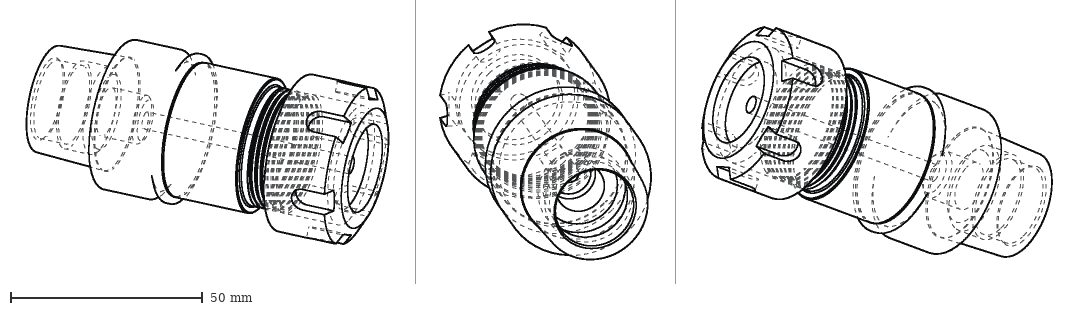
import cadquery as cq
import math

total_length = 90.0
flange_start = 20.0
groove_center = 35.95
ring_end = 40.0
barrel_end = 61.3
thread_start = 63.4
nut_start = 70.0
nose_end = 86.0

shank_small_diameter = 28.5
shank_large_diameter = 30.13
shank_root_diameter = 30.5
shank_taper_end = 18.2
shank_root_start = 19.6
shank_edge_round = 0.7

flange_diameter = 40.0
flange_edge_round = 1.0
groove_diameter = 34.8
groove_floor_width = 1.3
groove_flank_angle = 30.0
groove_edge_round = 0.5
groove_root_round = 0.4
ring_front_round = 0.9
ring_back_round = 0.5
barrel_diameter = 36.0
barrel_edge_chamfer = 0.3
relief_diameter = 35.7
relief_length = 0.5

thread_diameter = 31.85
thread_root_diameter = 30.21
thread_pitch = 1.5
thread_root_flat = thread_pitch / 4
thread_flank_angle = 30.0
thread_start_angle = 90.0
thread_run_in = 1.8
thread_cut_clearance = 0.1
neck_chamfer = 0.4

socket_mouth_diameter = 22.0
socket_diameter = 21.0
socket_mouth_depth = 0.7
socket_lip_end = 7.7
chamber_diameter = 23.5
chamber_end = 15.1
floor_diameter = 20.0
floor_start = chamber_end + (chamber_diameter - floor_diameter) / 2
screw_hole_diameter = 13.0
screw_hole_tip_diameter = 11.0
screw_hole_depth = 10.0
coolant_hole_diameter = 4.5

nut_diameter = 42.0
nut_face_diameter = 32.0
nut_cone_start = 87.2
nut_edge_round = 0.5
nut_opening_diameter = 23.5
slot_count = 6
slot_width = 6.3
slot_start = 78.0
slot_floor_radius = 18.0


def revolve_about_x(outline):
    """Turn a closed half outline in the XY plane around the X axis."""
    return outline.close().revolve(360, (0, 0, 0), (1, 0, 0))


def add_rounded_corner(outline, previous, corner, following, radius):
    """Draw to a corner of the outline and round it with a tangent arc."""
    corner = cq.Vector(*corner)
    back = (cq.Vector(*previous) - corner).normalized()
    ahead = (cq.Vector(*following) - corner).normalized()
    half_angle = back.getAngle(ahead) / 2
    tangent_length = radius / math.tan(half_angle)
    arc_offset = radius / math.sin(half_angle) - radius
    arc_start = corner + back * tangent_length
    arc_middle = corner + (back + ahead).normalized() * arc_offset
    arc_end = corner + ahead * tangent_length
    outline = outline.lineTo(arc_start.x, arc_start.y)
    return outline.threePointArc((arc_middle.x, arc_middle.y), (arc_end.x, arc_end.y))


def draw_rounded_outline(corners):
    """Join (x, radius, rounding) corners with lines; a rounding of zero leaves a sharp corner."""
    first_x, first_radius, _ = corners[0]
    outline = cq.Workplane("XY").moveTo(first_x, first_radius)
    for previous, corner, following in zip(corners, corners[1:], corners[2:]):
        if corner[2] > 0:
            outline = add_rounded_corner(outline, previous[:2], corner[:2], following[:2], corner[2])
        else:
            outline = outline.lineTo(corner[0], corner[1])
    last_x, last_radius, _ = corners[-1]
    return outline.lineTo(last_x, last_radius)


def make_outer_shape():
    """Solid shank, flange, barrel and nose, before the bore and the thread are cut."""
    flange_radius = flange_diameter / 2
    groove_radius = groove_diameter / 2
    barrel_radius = barrel_diameter / 2
    thread_radius = thread_diameter / 2
    half_floor = groove_floor_width / 2
    flank_length = (flange_radius - groove_radius) * math.tan(math.radians(groove_flank_angle))
    half_mouth = half_floor + flank_length
    relief_end = ring_end + relief_length
    outline = draw_rounded_outline([
        (0, 0, 0),
        (0, shank_small_diameter / 2, shank_edge_round),
        (shank_taper_end, shank_large_diameter / 2, 0),
        (shank_root_start, shank_large_diameter / 2, 0),
        (flange_start, shank_root_diameter / 2, 0),
        (flange_start, flange_radius, flange_edge_round),
        (groove_center - half_mouth, flange_radius, groove_edge_round),
        (groove_center - half_floor, groove_radius, groove_root_round),
        (groove_center + half_floor, groove_radius, groove_root_round),
        (groove_center + half_mouth, flange_radius, ring_front_round),
        (ring_end, flange_radius, ring_back_round),
        (ring_end, relief_diameter / 2, 0),
        (relief_end, relief_diameter / 2, 0),
        (relief_end, barrel_radius, 0),
        (barrel_end - barrel_edge_chamfer, barrel_radius, 0),
        (barrel_end, barrel_radius - barrel_edge_chamfer, 0),
        (barrel_end, thread_radius + neck_chamfer, 0),
        (barrel_end + neck_chamfer, thread_radius, 0),
        (nose_end, thread_radius, 0),
        (nose_end, 0, 0),
    ])
    return revolve_about_x(outline)


def make_bore():
    """Shank socket, undercut chamber, screw hole and through coolant hole."""
    screw_hole_end = floor_start + screw_hole_depth
    tip_length = (screw_hole_diameter - screw_hole_tip_diameter) / 2
    outline = (
        cq.Workplane("XY")
        .lineTo(0, socket_mouth_diameter / 2)
        .lineTo(socket_mouth_depth, socket_diameter / 2)
        .lineTo(socket_lip_end, socket_diameter / 2)
        .lineTo(socket_lip_end, chamber_diameter / 2)
        .lineTo(chamber_end, chamber_diameter / 2)
        .lineTo(floor_start, floor_diameter / 2)
        .lineTo(floor_start, screw_hole_diameter / 2)
        .lineTo(screw_hole_end, screw_hole_diameter / 2)
        .lineTo(screw_hole_end + tip_length, screw_hole_tip_diameter / 2)
        .lineTo(screw_hole_end + tip_length, coolant_hole_diameter / 2)
        .lineTo(nose_end, coolant_hole_diameter / 2)
        .lineTo(nose_end, 0)
    )
    return revolve_about_x(outline)


def make_thread_groove():
    """Helical groove with a flat root, cut off square at its start and ending under the nut."""
    root_radius = thread_root_diameter / 2
    outer_radius = thread_diameter / 2 + thread_cut_clearance
    half_root = thread_root_flat / 2
    half_mouth = half_root + (outer_radius - root_radius) * math.tan(math.radians(thread_flank_angle))
    helix_start = thread_start - thread_run_in
    helix_length = nut_start + thread_pitch - helix_start
    helix = cq.Wire.makeHelix(thread_pitch, helix_length, root_radius)
    profile = cq.Workplane("XZ").polyline([
        (root_radius, -half_root),
        (outer_radius, -half_mouth),
        (outer_radius, half_mouth),
        (root_radius, half_root),
    ]).close()
    groove = profile.sweep(cq.Workplane(obj=helix), isFrenet=True)
    groove = (
        groove.rotate((0, 0, 0), (0, 0, 1), thread_start_angle)
        .rotate((0, 0, 0), (0, 1, 0), 90)
        .translate((helix_start, 0, 0))
    )
    threaded_stretch = (
        cq.Workplane("YZ", origin=(thread_start, 0, 0))
        .circle(thread_diameter)
        .extrude(nose_end - thread_start)
    )
    return groove.intersect(threaded_stretch)


def make_nut_slot():
    """Round-ended wrench slot on the -Y side."""
    slot_radius = slot_width / 2
    straight_start = slot_start + slot_radius
    outline = (
        cq.Workplane("XZ", origin=(0, -slot_floor_radius, 0))
        .moveTo(total_length, -slot_radius)
        .lineTo(straight_start, -slot_radius)
        .threePointArc((slot_start, 0), (straight_start, slot_radius))
        .lineTo(total_length, slot_radius)
        .close()
    )
    return outline.extrude(nut_diameter / 2)


def make_nut():
    """Nut that fits over the nose, with an inward lip at its face and slots around its rim."""
    nut_radius = nut_diameter / 2
    bore_radius = thread_diameter / 2
    opening_radius = nut_opening_diameter / 2
    outline = draw_rounded_outline([
        (nut_start, bore_radius, 0),
        (nut_start, nut_radius, nut_edge_round),
        (nut_cone_start, nut_radius, 0),
        (total_length, nut_face_diameter / 2, 0),
        (total_length, opening_radius, 0),
        (nose_end, opening_radius, 0),
        (nose_end, bore_radius, 0),
    ])
    nut = revolve_about_x(outline)
    slot = make_nut_slot()
    for i in range(slot_count):
        nut = nut.cut(slot.rotate((0, 0, 0), (1, 0, 0), i * 360 / slot_count))
    return nut


holder = make_outer_shape().cut(make_bore()).cut(make_thread_groove())
nut = make_nut()
result = cq.Compound.makeCompound([holder.solids().val(), nut.solids().val()])